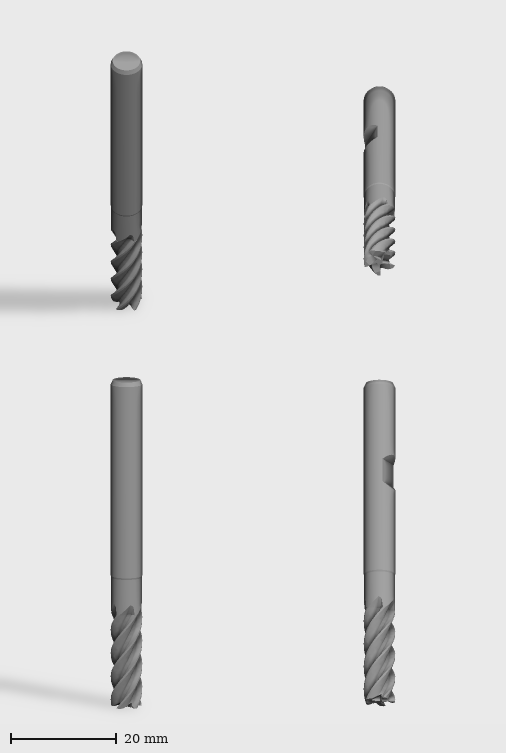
import cadquery as cq
import math

length = 63.0
shank_diameter = 6.0
shank_radius = shank_diameter / 2
shank_chamfer_height = 0.8
shank_chamfer_width = 0.4

neck_radius = 2.9
neck_top = 25.25
neck_taper_height = 0.3

flat_center = 45.05
flat_length = 4.4
flat_depth = 1.2

head_length = 18.0
flute_count = 5
flute_pitch = 360.0 / flute_count
helix_angle = 40.0
lead = 2 * math.pi * shank_radius / math.tan(math.radians(helix_angle))
first_edge_angle = -34.0

runout_height = 2.0
runout_lift = 1.15
runout_outer_radius = 1.5 * shank_radius

land_end_radius = 2.95
land_end_angle = 9.0
back_middle_radius = 2.45
back_middle_angle = 26.0
floor_start_radius = 1.8
floor_start_angle = 44.0
floor_end_radius = 2.0
floor_end_angle = 64.0

gash_depth = 1.0
gash_width = 1.9
gash_inner_radius = 0.5


def polar(radius, angle):
    """Point at a radius and an angle in degrees, as (x, y)."""
    turn = math.radians(angle)
    return radius * math.cos(turn), radius * math.sin(turn)


def add_flute(section, edge_angle):
    """Continue a section from the land end behind one cutting edge, through the flute, to the next edge."""
    return (
        section.threePointArc(
            polar(back_middle_radius, edge_angle + back_middle_angle),
            polar(floor_start_radius, edge_angle + floor_start_angle),
        )
        .lineTo(*polar(floor_end_radius, edge_angle + floor_end_angle))
        .lineTo(*polar(shank_radius, edge_angle + flute_pitch))
    )


def twist_over(height):
    """Degrees that the flutes turn over a height."""
    return 360.0 * height / lead


def make_shank():
    """Shank and neck, with the clamping flat and the flute runouts."""
    profile = [
        (0, head_length),
        (neck_radius, head_length),
        (neck_radius, neck_top - neck_taper_height),
        (shank_radius, neck_top),
        (shank_radius, length - shank_chamfer_height),
        (shank_radius - shank_chamfer_width, length),
        (0, length),
    ]
    body = cq.Workplane("XZ").polyline(profile).close().revolve(360, (0, 0), (0, 1))
    body = body.cut(clamping_flat())
    for flute in range(flute_count):
        edge = first_edge_angle + flute * flute_pitch + twist_over(head_length)
        body = body.cut(flute_runout(edge))
    return body


def clamping_flat():
    """Trapezoid notch with 45 degree ends."""
    floor = shank_radius - flat_depth
    half = flat_length / 2
    outline = [
        (floor, flat_center - half),
        (shank_radius, flat_center - half - flat_depth),
        (shank_radius, flat_center + half + flat_depth),
        (floor, flat_center + half),
    ]
    return cq.Workplane("YZ").polyline(outline).close().extrude(shank_radius, both=True)


def flute_runout(edge_angle):
    """End of one flute above the head: a straight channel that climbs outward to the neck surface."""
    land_end = edge_angle + land_end_angle
    next_edge = edge_angle + flute_pitch
    section = cq.Workplane("XY", origin=(0, 0, head_length)).moveTo(*polar(land_end_radius, land_end))
    section = (
        add_flute(section, edge_angle)
        .lineTo(*polar(runout_outer_radius, next_edge))
        .lineTo(*polar(runout_outer_radius, land_end))
        .close()
    )
    climb = cq.Vector(*polar(runout_lift, next_edge), runout_height)
    return cq.Solid.extrudeLinear(section.val(), [], climb)


def make_cutting_head():
    """Twisted head with one tooth per flute and gashes in its end face."""
    section = cq.Workplane("XY").moveTo(*polar(shank_radius, first_edge_angle))
    for tooth in range(flute_count):
        edge = first_edge_angle + tooth * flute_pitch
        section = section.lineTo(*polar(land_end_radius, edge + land_end_angle))
        section = add_flute(section, edge)
    head = section.close().twistExtrude(head_length, twist_over(head_length))
    for tooth in range(flute_count):
        head = head.cut(end_gash(first_edge_angle + tooth * flute_pitch))
    return head


def end_gash(edge_angle):
    """Radial wedge notch in the end face, in front of one cutting edge."""
    return (
        cq.Workplane("YZ", origin=(gash_inner_radius, 0, 0))
        .polyline([(0, 0), (0, gash_depth), (-gash_width, 0)])
        .close()
        .extrude(shank_radius)
        .rotate((0, 0, 0), (0, 0, 1), edge_angle)
    )


shank = make_shank()
cutting_head = make_cutting_head()
result = cq.Compound.makeCompound([shank.val(), cutting_head.val()])